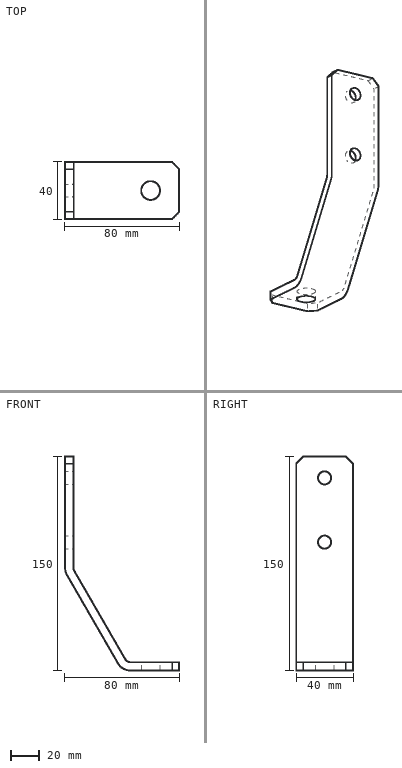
import cadquery as cq
import math

length = 80.0
width = 40.0
height = 150.0
thickness = 6.0
corner_chamfer = 5.0

slope_angle = math.radians(60)
foot_vertex_x = 40.0
upper_vertex_z = foot_vertex_x * math.tan(slope_angle)
bend_inner_radius = 4.0

foot_hole_diameter = 13.0
foot_hole_x = 60.0
wall_hole_diameter = 9.0
wall_hole_heights = (90.0, 135.0)


def bent_strip():
    """Three-leg strip, extruded across its width and rounded at both bends."""
    inner_foot_x = foot_vertex_x + thickness * math.tan(slope_angle / 2)
    inner_wall_z = upper_vertex_z + thickness * math.tan((math.pi / 2 - slope_angle) / 2)
    outline = [
        (0, height),
        (0, upper_vertex_z),
        (foot_vertex_x, 0),
        (length, 0),
        (length, thickness),
        (inner_foot_x, thickness),
        (thickness, inner_wall_z),
        (thickness, height),
    ]
    strip = cq.Workplane("XZ").polyline(outline).close().extrude(width / 2, both=True)

    def round_edge(body, x, z, radius):
        edge = cq.selectors.NearestToPointSelector((x, 0, z))
        return body.edges("|Y").edges(edge).fillet(radius)

    strip = round_edge(strip, 0, upper_vertex_z, bend_inner_radius + thickness)
    strip = round_edge(strip, thickness, inner_wall_z, bend_inner_radius)
    strip = round_edge(strip, foot_vertex_x, 0, bend_inner_radius + thickness)
    return round_edge(strip, inner_foot_x, thickness, bend_inner_radius)


def chamfer_free_corners(body):
    """Bevel the two corners at the tip of the foot and the top of the wall."""
    body = body.faces(">X").edges("|Z").chamfer(corner_chamfer)
    return body.faces(">Z").edges("|X").chamfer(corner_chamfer)


def foot_hole():
    return (
        cq.Workplane("XY")
        .center(foot_hole_x, 0)
        .circle(foot_hole_diameter / 2)
        .extrude(thickness)
    )


def wall_holes():
    centers = [(0, z) for z in wall_hole_heights]
    return cq.Workplane("YZ").pushPoints(centers).circle(wall_hole_diameter / 2).extrude(thickness)


result = chamfer_free_corners(bent_strip()).cut(foot_hole()).cut(wall_holes())